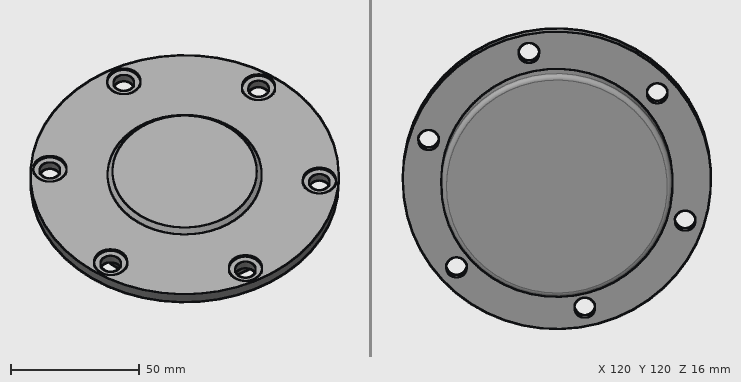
import cadquery as cq

flange_diameter = 120.0
flange_thickness = 5.0

spigot_diameter = 90.0
spigot_height = 9.0
spigot_edge_radius = 2.0

total_height = 16.0
boss_base_diameter = 60.0
boss_height = total_height - flange_thickness - spigot_height
boss_top_diameter = boss_base_diameter - 2 * boss_height

hole_count = 6
bolt_circle_diameter = 105.0
hole_diameter = 8.0
counterbore_diameter = 13.0
counterbore_depth = 1.0


def make_flange():
    return cq.Workplane("XY").circle(flange_diameter / 2).extrude(flange_thickness)


def make_spigot():
    spigot = cq.Workplane("XY").circle(spigot_diameter / 2).extrude(-spigot_height)
    return spigot.faces("<Z").edges().fillet(spigot_edge_radius)


def make_boss():
    boss = cq.Workplane("XY").workplane(offset=flange_thickness).circle(boss_base_diameter / 2)
    return boss.workplane(offset=boss_height).circle(boss_top_diameter / 2).loft()


def cut_bolt_holes(body):
    return (
        body.copyWorkplane(cq.Workplane("XY", origin=(0, 0, flange_thickness)))
        .polarArray(bolt_circle_diameter / 2, 0, 360, hole_count)
        .cboreHole(hole_diameter, counterbore_diameter, counterbore_depth, flange_thickness)
    )


result = cut_bolt_holes(make_flange()).union(make_spigot()).union(make_boss())